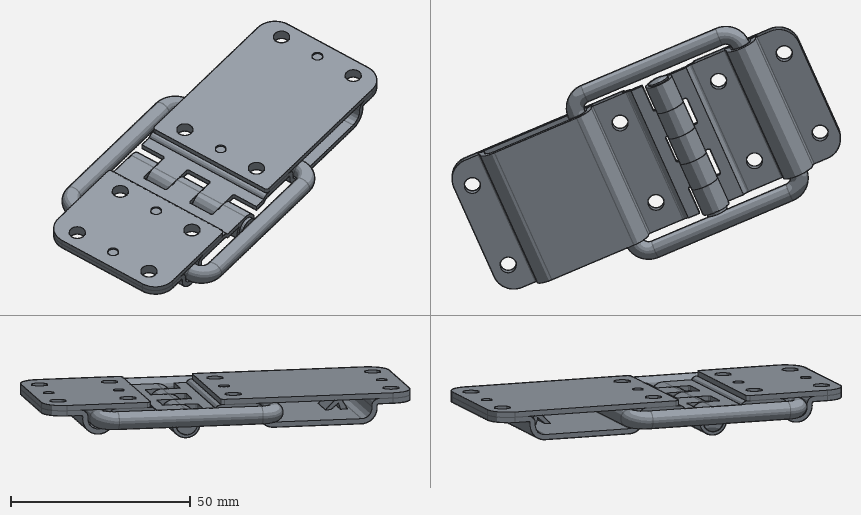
import cadquery as cq
import math

leaf_width = 40.0
sheet = 1.5
hinge_gap = 20.0
plate_near_y = hinge_gap / 2
corner_radius = 6.0
near_corner_radius = 1.0

strap_top = -sheet
strap_bottom = strap_top - sheet
bend_inner_radius = 0.5
bend_outer_radius = bend_inner_radius + sheet

wire_diameter = 5.0
bail_width = 54.0
bail_length = 55.0
bail_bend_radius = 4.5
wire_z = strap_top - wire_diameter / 2
bail_end_y = (bail_length - wire_diameter) / 2
bail_side_x = (bail_width - wire_diameter) / 2

wire_clearance = 0.5
trough_inner_radius = wire_diameter / 2 + wire_clearance
trough_outer_radius = trough_inner_radius + sheet

knuckle_count = 5
knuckle_width = leaf_width / knuckle_count
pin_radius = 2.5
knuckle_radius = pin_radius + sheet
step_drop = 1.0
step_length = 1.6
step_radius = (step_length**2 + step_drop**2) / (2 * step_drop)
knuckle_clearance = 1.0
slot_corner_radius = 0.5
hinge_flat_top = strap_top - step_drop
pin_z = hinge_flat_top - knuckle_radius
pin_head_radius = 3.0
pin_head_height = 1.0
pin_dome_height = 0.6

screw_diameter = 4.5
screw_spacing = 25.0
dimple_diameter = 3.0
dimple_depth = 0.5
hole_row_inset = 5.0

tongue_width = 10.0
tongue_height = 3.0
tongue_crest_y = 46.6
tongue_crest_length = 1.6
tongue_far_foot = 2.6
tongue_near_foot = 3.7
tongue_opening_height = 1.8
tongue_opening_far = 0.6
tongue_opening_near = 2.2

long_leaf_end = 65.0
long_trough_end = 50.0
short_leaf_end = 40.0


def box_between(y_min, y_max, z_min, z_max, width=leaf_width):
    size = (width, y_max - y_min, z_max - z_min)
    return cq.Workplane("XY").box(*size).translate((0, (y_min + y_max) / 2, (z_min + z_max) / 2))


def rod_along_x(radius, length, y, z):
    return cq.Workplane("YZ", origin=(-length / 2, y, z)).circle(radius).extrude(length)


def trough_block(radius, far_y):
    """Round-bottomed block reaching from the trough floor up to the strap top."""
    block = rod_along_x(radius, leaf_width, bail_end_y, wire_z)
    if far_y > bail_end_y:
        block = block.union(rod_along_x(radius, leaf_width, far_y, wire_z))
        block = block.union(box_between(bail_end_y, far_y, wire_z - radius, wire_z + radius))
    clear_height = box_between(bail_end_y - radius, far_y + radius, wire_z - radius, strap_top)
    return block.intersect(clear_height)


def round_rim(strap, far_y, trough_radius, level, rim_radius):
    """Round both edges where the trough surface of this radius meets the strap face at this level."""
    half_opening = math.sqrt(trough_radius**2 - (level - wire_z) ** 2)
    near_rim = cq.selectors.NearestToPointSelector((0, bail_end_y - half_opening, level))
    far_rim = cq.selectors.NearestToPointSelector((0, far_y + half_opening, level))
    return strap.edges("|X").edges(near_rim + far_rim).fillet(rim_radius)


def folded_strap(end_y, far_y):
    """Strap with its trough and with the step down to the hinge side."""
    step_y = plate_near_y - step_length
    strap = (
        cq.Workplane("YZ", origin=(-leaf_width / 2, 0, 0))
        .moveTo(end_y, strap_top)
        .lineTo(plate_near_y, strap_top)
        .radiusArc((step_y, hinge_flat_top), -step_radius)
        .lineTo(0, hinge_flat_top)
        .lineTo(0, hinge_flat_top - sheet)
        .lineTo(step_y, hinge_flat_top - sheet)
        .radiusArc((plate_near_y, strap_bottom), step_radius)
        .lineTo(end_y, strap_bottom)
        .close()
        .extrude(leaf_width)
    )
    strap = strap.union(trough_block(trough_outer_radius, far_y))
    strap = strap.cut(trough_block(trough_inner_radius, far_y))
    strap = round_rim(strap, far_y, trough_inner_radius, strap_top, bend_outer_radius)
    strap = round_rim(strap, far_y, trough_outer_radius, strap_bottom, bend_inner_radius)
    return strap.edges("|Z and >Y").fillet(corner_radius)


def cover_plate(end_y):
    plate = box_between(plate_near_y, end_y, strap_top, 0)
    plate = plate.edges("|Z and >Y").fillet(corner_radius)
    return plate.edges("|Z and <Y").fillet(near_corner_radius)


def add_knuckles(strap, first_knuckle):
    """Roll the hinge edge into a barrel and notch it so every other knuckle stays."""
    strap = strap.union(rod_along_x(knuckle_radius, leaf_width, 0, pin_z))
    strap = strap.cut(rod_along_x(pin_radius, leaf_width, 0, pin_z))
    notch_far_y = knuckle_radius + knuckle_clearance
    notch = box_between(-notch_far_y, notch_far_y, pin_z - knuckle_radius, strap_top, knuckle_width)
    middle_knuckle = (knuckle_count - 1) / 2
    for index in range(1 - first_knuckle, knuckle_count, 2):
        cutter = notch.translate(((index - middle_knuckle) * knuckle_width, 0, 0))
        if index == 0:
            corners = "|Z and >Y and >X"
        elif index == knuckle_count - 1:
            corners = "|Z and >Y and <X"
        else:
            corners = "|Z and >Y"
        strap = strap.cut(cutter.edges(corners).fillet(slot_corner_radius))
    return strap


def drill_leaf(leaf, end_y):
    """Four through screw holes and two shallow rivet dimples."""
    for row_y in (plate_near_y + hole_row_inset, end_y - hole_row_inset):
        screws = cq.Workplane("XY").pushPoints([(-screw_spacing / 2, row_y), (screw_spacing / 2, row_y)])
        leaf = leaf.cut(screws.circle(screw_diameter / 2).extrude(strap_bottom), clean=False)
        dimple = cq.Workplane("XY").center(0, row_y).circle(dimple_diameter / 2).extrude(-dimple_depth)
        leaf = leaf.cut(dimple, clean=False)
    return leaf


def hinge_leaf(end_y, trough_far_y, first_knuckle):
    strap = add_knuckles(folded_strap(end_y, trough_far_y), first_knuckle)
    return drill_leaf(strap.union(cover_plate(end_y), clean=False), end_y)


def catch_tongue():
    floor_z = wire_z - trough_inner_radius
    half_crest = tongue_crest_length / 2
    plane = cq.Workplane("YZ", origin=(-tongue_width / 2, tongue_crest_y, floor_z))
    hump = [
        (tongue_far_foot, 0),
        (half_crest, tongue_height),
        (-half_crest, tongue_height),
        (-tongue_near_foot, 0),
    ]
    opening = [(tongue_opening_far, 0), (0, tongue_opening_height), (-tongue_opening_near, 0)]
    tongue = plane.polyline(hump).close().extrude(tongue_width)
    return tongue.cut(plane.polyline(opening).close().extrude(tongue_width))


def wire_bail():
    """Closed rectangular wire loop, swept from the middle of its far end."""
    bend_x = bail_side_x - bail_bend_radius
    bend_y = bail_end_y - bail_bend_radius
    path = (
        cq.Workplane("XY", origin=(0, 0, wire_z))
        .moveTo(0, bail_end_y)
        .lineTo(bend_x, bail_end_y)
        .radiusArc((bail_side_x, bend_y), bail_bend_radius)
        .lineTo(bail_side_x, -bend_y)
        .radiusArc((bend_x, -bail_end_y), bail_bend_radius)
        .lineTo(-bend_x, -bail_end_y)
        .radiusArc((-bail_side_x, -bend_y), bail_bend_radius)
        .lineTo(-bail_side_x, bend_y)
        .radiusArc((-bend_x, bail_end_y), bail_bend_radius)
        .close()
    )
    section = cq.Workplane("YZ", origin=(0, bail_end_y, wire_z)).circle(wire_diameter / 2)
    return section.sweep(path)


def hinge_pin():
    """Shank filling the knuckles, a domed head at -X and a flat disc head at +X."""
    half_length = leaf_width / 2
    head_tip = half_length + pin_head_height
    dome_base = head_tip - pin_dome_height
    dome_radius = (pin_head_radius**2 + pin_dome_height**2) / (2 * pin_dome_height)
    return (
        cq.Workplane("XY", origin=(0, 0, pin_z))
        .moveTo(-head_tip, 0)
        .radiusArc((-dome_base, pin_head_radius), dome_radius)
        .lineTo(-half_length, pin_head_radius)
        .lineTo(-half_length, pin_radius)
        .lineTo(half_length, pin_radius)
        .lineTo(half_length, pin_head_radius)
        .lineTo(head_tip, pin_head_radius)
        .lineTo(head_tip, 0)
        .close()
        .revolve(360, (0, 0, 0), (1, 0, 0))
    )


long_leaf = hinge_leaf(long_leaf_end, long_trough_end, first_knuckle=1).union(catch_tongue(), clean=False)
short_leaf = hinge_leaf(short_leaf_end, bail_end_y, first_knuckle=0).mirror("XZ")
bail = wire_bail()
pin = hinge_pin()

result = cq.Compound.makeCompound([long_leaf.val(), short_leaf.val(), bail.val(), pin.val()])